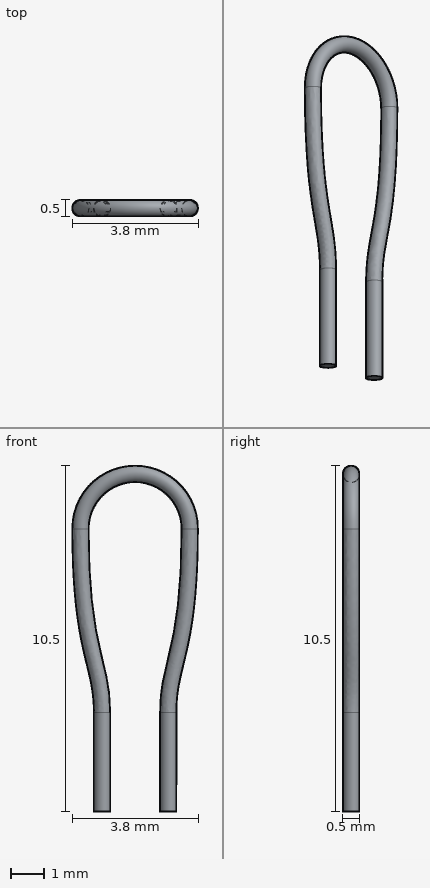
import cadquery as cq

wire_diameter = 0.5
outer_width = 3.8
total_height = 10.45
leg_spacing = 2.0
leg_length = 3.0

bow_radius = (outer_width - wire_diameter) / 2
bow_center_z = total_height - outer_width / 2
bow_top_z = bow_center_z + bow_radius
leg_x = leg_spacing / 2

leg_handle = 1.55
bow_handle = 3.75


def flare_points(side):
    """Bezier control points from leg top to bow end; side is -1 or +1 along X."""
    return [
        (side * leg_x, leg_length),
        (side * leg_x, leg_length + leg_handle),
        (side * bow_radius, bow_center_z - bow_handle),
        (side * bow_radius, bow_center_z),
    ]


def wire_centerline():
    """Leg, flare, half-circle bow, flare and leg as one tangent path in the XZ plane."""
    return (
        cq.Workplane("XZ")
        .moveTo(-leg_x, 0)
        .lineTo(-leg_x, leg_length)
        .bezier(flare_points(-1))
        .threePointArc((0, bow_top_z), (bow_radius, bow_center_z))
        .bezier(flare_points(1)[::-1])
        .lineTo(leg_x, 0)
    )


def bent_wire():
    """Round wire section swept along the centreline."""
    section = cq.Workplane("XY").center(-leg_x, 0).circle(wire_diameter / 2)
    return section.sweep(wire_centerline())


result = bent_wire()